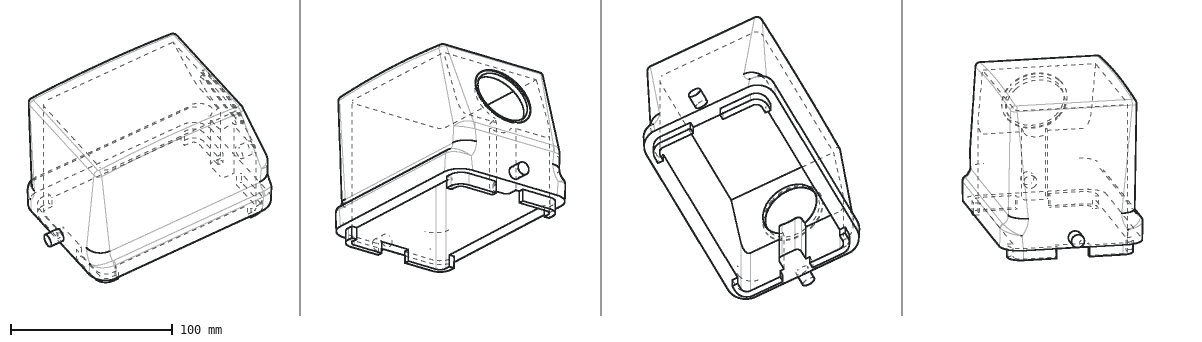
import cadquery as cq
import math


rim_width = 90
rim_length = 132
hood_width = 79.8
end_draft = 0.8
knee_height = 31.2
knee_radius = 15
slant_angle = 20
crown_height = 94.0
crown_drop = 2.2
crown_fillet = 3

corner_radius_bottom = 12.5
corner_radius_top = 3

flare_start = 20.2
flare_radius = 6
rim_fillet = 3

wall = 4.5
foot_thickness = 3.8
cavity_radius = 4.4

entry_y = 54.3
entry_radius = 18.5
entry_rim_radius = 20.5
entry_rim_depth = 0.8
entry_depth = 30
entry_clearance = 15

rib_width = 15.3
rib_face_y = 48.3
rib_corner_radius = 3

pin_span = 150
pin_diameter = 8.2
pin_height = 6.6

foot_height = 7.8
feet_width = 78.9
feet_length = 121.5
foot_reach = 12
foot_gap = 20.7

edge_margin = 0.2

draft_slope = math.tan(math.radians(end_draft))
slant_slope = math.tan(math.radians(slant_angle))
knee_y = rim_length / 2 - knee_height * draft_slope
cavity_width = feet_width - 2 * foot_thickness
cavity_length = feet_length - 2 * foot_thickness
crown_edge_height = crown_height - crown_drop


def end_y(z):
    """Distance of the drafted end walls from the middle at height z."""
    return rim_length / 2 - z * draft_slope


def slant_y(z):
    """Y of the slanted wall at height z."""
    return knee_y - (z - knee_height) * slant_slope


def slant_z(y):
    """Height of the slanted wall at the given Y."""
    return knee_height + (knee_y - y) / slant_slope


def corner_radius(z):
    """Rounding of the upright corners at height z."""
    shrink = (corner_radius_bottom - corner_radius_top) / crown_height
    return corner_radius_bottom - shrink * z


def rounded_section(width, front_y, back_y, z):
    """Rounded rectangle at height z, reaching in Y from front_y to back_y."""
    sketch = cq.Sketch().rect(width, back_y - front_y).vertices().fillet(corner_radius(z))
    return sketch.moved(cq.Location(cq.Vector(0, (front_y + back_y) / 2, z)))


def ruled_block(lower, upper):
    """Straight-sided solid between two sections."""
    return cq.Workplane("XY").placeSketch(lower, upper).loft(ruled=True)


def drafted_block(width, low, high):
    """Block with drafted ends and tapering corner rounding between two heights."""
    sections = [rounded_section(width, -end_y(z), end_y(z), z) for z in (low, high)]
    return ruled_block(*sections)


def side_plate(outline):
    """Plate in the YZ plane, wider than the part."""
    return outline.close().extrude(rim_width, both=True)


def below_slant():
    """Everything in front of the slanted back wall, and everything below the knee."""
    heights = (knee_height, crown_height)
    sections = [rounded_section(hood_width, -rim_length, slant_y(z), z) for z in heights]
    lower = cq.Workplane("XY").box(rim_width, 2 * rim_length, knee_height, centered=(True, True, False))
    return lower.union(ruled_block(*sections))


def below_crown():
    """Everything under the arched crown."""
    front_y = -end_y(crown_edge_height)
    back_y = slant_y(crown_edge_height)
    outline = (
        cq.Workplane("YZ")
        .moveTo(-rim_length, 0)
        .lineTo(rim_length, 0)
        .lineTo(rim_length, crown_edge_height)
        .lineTo(back_y, crown_edge_height)
        .threePointArc(((front_y + back_y) / 2, crown_height), (front_y, crown_edge_height))
        .lineTo(-rim_length, crown_edge_height)
    )
    return side_plate(outline)


def hood():
    """Hood above the flare, with its knee and crown edges rounded."""
    body = drafted_block(hood_width, flare_start, crown_height)
    body = body.intersect(below_slant()).intersect(below_crown())
    crown_edges = body.faces(">Z").edges()
    body = crown_edges.fillet(crown_fillet)
    knee_edges = cq.selectors.BoxSelector(
        (-rim_width, 0, knee_height - edge_margin),
        (rim_width, rim_length, knee_height + edge_margin),
    )
    return body.edges(knee_edges).fillet(knee_radius)


def flare():
    """Rim with drafted ends, curving up into the hood walls along both long sides."""
    half_hood = hood_width / 2
    sweep = math.acos(1 - (rim_width - hood_width) / 2 / flare_radius)

    def arc_point(angle):
        x = half_hood + flare_radius * (1 - math.cos(angle))
        z = flare_start - flare_radius * math.sin(angle)
        return (x, z)

    half = (
        cq.Workplane("XZ")
        .moveTo(0, 0)
        .lineTo(rim_width / 2, 0)
        .lineTo(*arc_point(sweep))
        .threePointArc(arc_point(sweep / 2), (half_hood, flare_start))
        .lineTo(0, flare_start)
        .close()
        .extrude(rim_length, both=True)
    )
    bar = half.union(half.mirror("YZ"))
    ends = side_plate(
        cq.Workplane("YZ")
        .moveTo(-end_y(0), 0)
        .lineTo(end_y(0), 0)
        .lineTo(end_y(flare_start), flare_start)
        .lineTo(-end_y(flare_start), flare_start)
    )
    bar = bar.intersect(ends)
    bar = bar.edges("%ELLIPSE").fillet(corner_radius(flare_start))
    bar = bar.intersect(drafted_block(rim_width, 0, flare_start))
    rim_edges = cq.selectors.BoxSelector(
        (-rim_width, -rim_length, edge_margin),
        (rim_width, rim_length, flare_start - edge_margin),
    )
    return bar.edges(rim_edges).edges("|Y").fillet(rim_fillet)


def cavity():
    """Hollow open at the bottom, following the slant of the back wall."""
    back_wall = wall / math.cos(math.radians(slant_angle))
    half_length = cavity_length / 2
    ceiling = crown_edge_height - wall
    block = (
        cq.Workplane("YZ")
        .moveTo(-half_length, 0)
        .lineTo(half_length, 0)
        .lineTo(half_length, slant_z(half_length + back_wall))
        .lineTo(slant_y(ceiling) - back_wall, ceiling)
        .lineTo(-half_length, ceiling)
        .close()
        .extrude(cavity_width / 2, both=True)
    )
    return block.edges("|Z").fillet(cavity_radius)


def rib():
    """Upright rib on the back wall, from the rim up to the cable entry, around the locking pin."""
    depth = knee_y - rib_face_y
    middle = (0, rib_face_y + depth / 2, 0)
    block = cq.Workplane("XY", origin=middle).rect(rib_width, depth).extrude(slant_z(entry_y))
    return block.edges("|Z and <Y").fillet(rib_corner_radius)


def pins():
    """Locking pins sticking out of both end walls."""
    length = (pin_span - cavity_length) / 2
    pin = (
        cq.Workplane("XZ", origin=(0, -cavity_length / 2, pin_height))
        .circle(pin_diameter / 2)
        .extrude(length)
    )
    return pin.union(pin.mirror("XZ"))


def feet():
    """Four angled feet continuing the corners of the cavity wall downwards."""

    def downward_block(width, length):
        return cq.Workplane("XY").rect(width, length).extrude(-foot_height)

    outer = downward_block(feet_width, feet_length).edges("|Z").fillet(cavity_radius + foot_thickness)
    inner = downward_block(cavity_width, cavity_length).edges("|Z").fillet(cavity_radius)
    end_gaps = downward_block(foot_gap, feet_length)
    side_gaps = downward_block(feet_width, feet_length - 2 * foot_reach)
    return outer.cut(inner).cut(end_gaps).cut(side_gaps)


def entry_cutter(radius, depth):
    """Cylinder square to the slanted wall, reaching the given depth below its surface."""
    inward = cq.Vector(0, -1, -slant_slope).normalized()
    surface_centre = cq.Vector(0, entry_y, slant_z(entry_y))
    plane = cq.Plane(surface_centre - inward * entry_clearance, (1, 0, 0), inward)
    return cq.Workplane(plane).circle(radius).extrude(entry_clearance + depth)


outside = hood().union(flare())
result = (
    outside.cut(cavity())
    .union(rib().intersect(outside))
    .union(pins())
    .union(feet())
    .cut(entry_cutter(entry_radius, entry_depth))
    .cut(entry_cutter(entry_rim_radius, entry_rim_depth))
)